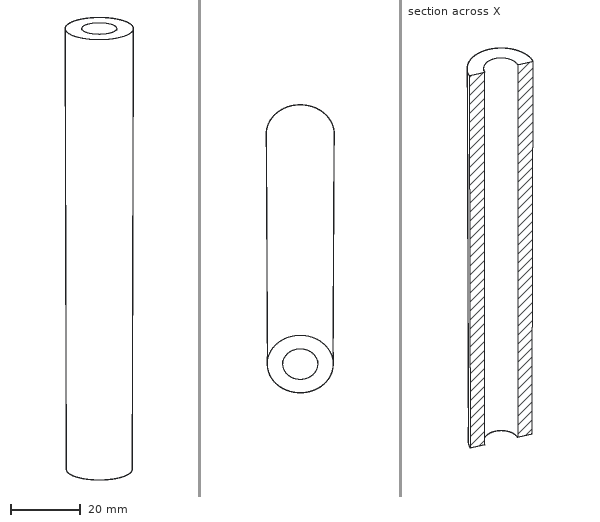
import cadquery as cq

length = 133.35
top_diameter = 19.558
bottom_diameter = 18.923
bore_diameter = 10.033

top_radius = top_diameter / 2
bottom_radius = bottom_diameter / 2
bore_radius = bore_diameter / 2

wall_section = (
    cq.Workplane("YZ")
    .moveTo(-bore_radius, 0)
    .lineTo(-bottom_radius, 0)
    .lineTo(-top_radius, length)
    .lineTo(-bore_radius, length)
    .close()
)

axis_start = (0, 0)
axis_end = (0, length)
result = wall_section.revolve(360, axis_start, axis_end)